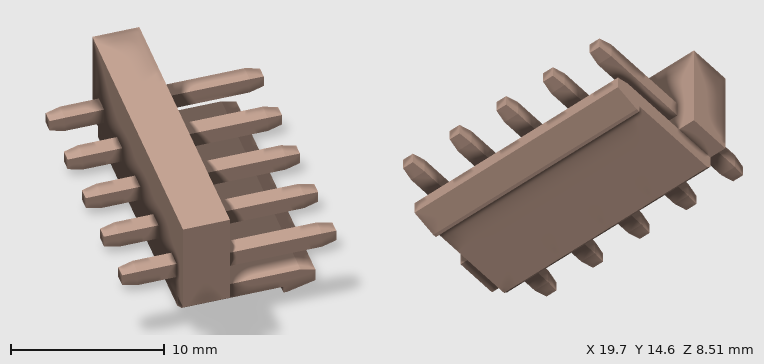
import cadquery as cq
import math


wall_length = 19.74
wall_depth = 3.2
wall_height = 6.8

pin_count = 5
pin_pitch = wall_length / pin_count
pin_size = 1.15
pin_tip_size = 0.83
pin_taper_length = 1.0
pin_length = 14.6
pin_front_reach = 3.67
pin_axis_z = 2.03

arm_width = 17.21
arm_length = 9.42
arm_thickness = 1.2
arm_heel_chamfer = 0.3
ramp_angle = math.radians(15)
top_ramp_length = 1.0
hook_length = 2.17
hook_drop = 0.51


def make_wall():
    return cq.Workplane("XY").box(
        wall_length, wall_depth, wall_height, centered=(True, False, False)
    )


def make_latch_arm():
    """Arm profile in the YZ plane, with a lead-in ramp above and below the hooked end."""
    top_ramp_drop = top_ramp_length * math.tan(ramp_angle)
    hook_ramp_length = hook_drop / math.tan(ramp_angle)
    profile = [
        (0, 0),
        (arm_length - top_ramp_length, 0),
        (arm_length, -top_ramp_drop),
        (arm_length, -arm_thickness),
        (arm_length - hook_ramp_length, -arm_thickness - hook_drop),
        (arm_length - hook_length, -arm_thickness - hook_drop),
        (arm_length - hook_length, -arm_thickness),
        (arm_heel_chamfer, -arm_thickness),
        (0, -arm_thickness + arm_heel_chamfer),
    ]
    return cq.Workplane("YZ").polyline(profile).close().extrude(arm_width / 2, both=True)


def make_pin():
    """One pin on the Y axis, starting at its front tip and running toward +Y."""
    shank_length = pin_length - 2 * pin_taper_length
    front_taper = (
        cq.Workplane("XZ")
        .rect(pin_tip_size, pin_tip_size)
        .workplane(offset=-pin_taper_length)
        .rect(pin_size, pin_size)
        .loft(ruled=True)
    )
    shank = (
        cq.Workplane("XZ", origin=(0, pin_taper_length, 0))
        .rect(pin_size, pin_size)
        .extrude(-shank_length)
    )
    rear_taper = front_taper.mirror("XZ").translate((0, pin_length, 0))
    return front_taper.union(shank).union(rear_taper)


result = make_wall().union(make_latch_arm())

pin = make_pin()
for index in range(pin_count):
    pin_x = (index - (pin_count - 1) / 2) * pin_pitch
    result = result.union(pin.translate((pin_x, -pin_front_reach, pin_axis_z)))